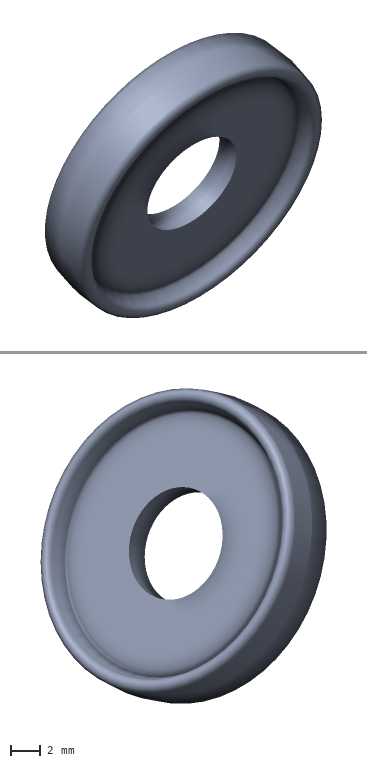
import cadquery as cq
import math

outer_radius = 10.85
width = 4.5
hole_radius = 3.95
web_thickness = 1.86
lip_radius = 0.5
crown_angle = math.radians(5)
wall_angle = math.radians(24)
floor_fillet = 0.22

half_width = width / 2
half_web = web_thickness / 2

lip_x = half_width - lip_radius
lip_r = outer_radius - lip_x * math.tan(crown_angle) - lip_radius / math.cos(crown_angle)


def lip_point(angle):
    """Point on the lip round, at an angle from +X towards the outside of the wheel."""
    return (lip_x + lip_radius * math.cos(angle), lip_r + lip_radius * math.sin(angle))


tread_end = lip_point(math.pi / 2 - crown_angle)
lip_tip = lip_point(0)
wall_start = lip_point(wall_angle - math.pi / 2)

fillet_x = half_web + floor_fillet
wall_end_x = fillet_x - floor_fillet * math.sin(wall_angle)
wall_end_r = wall_start[1] - (wall_start[0] - wall_end_x) * math.tan(wall_angle)
fillet_r = wall_end_r - floor_fillet * math.cos(wall_angle)
fillet_mid_angle = (math.pi / 2 - wall_angle) / 2 + wall_angle
fillet_mid = (
    fillet_x - floor_fillet * math.sin(fillet_mid_angle),
    fillet_r + floor_fillet * math.cos(fillet_mid_angle),
)

half_wheel = (
    cq.Workplane("XY")
    .moveTo(0, hole_radius)
    .lineTo(0, outer_radius)
    .lineTo(*tread_end)
    .threePointArc(lip_tip, wall_start)
    .lineTo(wall_end_x, wall_end_r)
    .threePointArc(fillet_mid, (half_web, fillet_r))
    .lineTo(half_web, hole_radius)
    .close()
    .revolve(360, (0, 0, 0), (1, 0, 0))
)

result = half_wheel.union(half_wheel.mirror("YZ"))